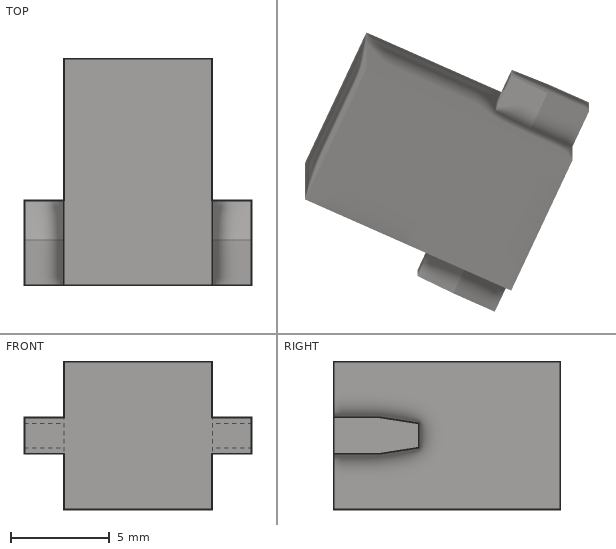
import cadquery as cq

overall_width = 11.5
block_size = 7.5
block_depth = 11.48

lug_height = 1.85
lug_tip_height = 1.23
lug_straight_length = 2.31
lug_length = 4.3

block = cq.Workplane("XY").box(block_size, block_depth, block_size, centered=(True, False, True))

lug_outline = [
    (0, -lug_height / 2),
    (lug_straight_length, -lug_height / 2),
    (lug_length, -lug_tip_height / 2),
    (lug_length, lug_tip_height / 2),
    (lug_straight_length, lug_height / 2),
    (0, lug_height / 2),
]
lugs = cq.Workplane("YZ").polyline(lug_outline).close().extrude(overall_width / 2, both=True)

result = block.union(lugs)